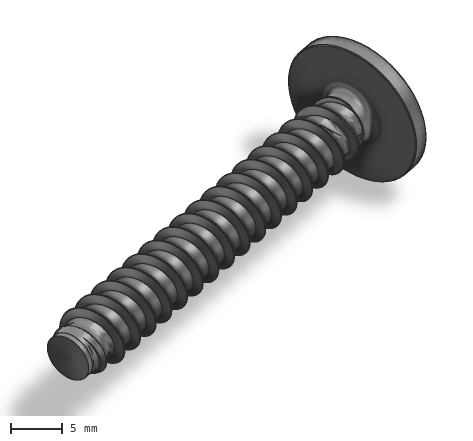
import cadquery as cq
import math

total_length = 49.9

head_height = 4.9
flange_radius = 15.5 / 2
flange_thickness = 1.7
flange_edge_break = 0.1
dome_base_radius = 6.5
dome_top_radius = 3.05

neck_radius = 2.8
neck_length = 1.7
neck_fillet = 0.85
core_radius = 2.5
shank_length = total_length - head_height
tip_dish_depth = 0.2

thread_turns = 18
thread_length = 44.65
pitch = thread_length / thread_turns
thread_radius = 3.5
crest_half_width = 0.06
flank_base_radius = 2.65
flank_base_half_width = 0.4
neck_side_shoulder = 0.95
tip_side_shoulder = 1.4
root_overlap = 0.01
envelope_margin = 0.25
thread_overrun = 0.6
thread_start = -(shank_length + thread_overrun)

neck_runout_radius = 3.0
neck_runout_end = 4.25
tip_runout_start = 0.6
tip_runout_end = 3.5


def make_blank():
    """Head, flange, neck and core turned as one profile about the Y axis."""
    dome_height = head_height - flange_thickness
    center_drop = (dome_base_radius**2 - dome_top_radius**2 - dome_height**2) / (2 * dome_height)
    sphere_center = flange_thickness - center_drop
    sphere_radius = math.hypot(dome_base_radius, center_drop)
    mid_y = flange_thickness + dome_height / 2
    mid_radius = math.sqrt(sphere_radius**2 - (mid_y - sphere_center) ** 2)

    fillet_inset = neck_fillet * (1 - math.sqrt(0.5))

    inner_flange_radius = flange_radius - flange_edge_break
    profile = (
        cq.Workplane("XY")
        .moveTo(0, head_height)
        .lineTo(dome_top_radius, head_height)
        .threePointArc((mid_radius, mid_y), (dome_base_radius, flange_thickness))
        .lineTo(inner_flange_radius, flange_thickness)
        .lineTo(flange_radius, flange_thickness - flange_edge_break)
        .lineTo(flange_radius, flange_edge_break)
        .lineTo(inner_flange_radius, 0)
        .lineTo(neck_radius + neck_fillet, 0)
        .threePointArc((neck_radius + fillet_inset, -fillet_inset), (neck_radius, -neck_fillet))
        .lineTo(neck_radius, -neck_length)
        .lineTo(core_radius, -neck_length)
        .lineTo(core_radius, -shank_length)
        .lineTo(0, -shank_length + tip_dish_depth)
        .close()
    )
    return profile.revolve(360, (0, 0, 0), (0, 1, 0))


def make_thread():
    """Right-hand thread ridge with low shoulders beside its flanks, trimmed to the run-outs."""
    shoulder_height = flank_base_radius - core_radius
    buried_radius = core_radius - root_overlap

    def buried_width(shoulder):
        run = (shoulder - flank_base_half_width) / shoulder_height
        return shoulder + run * root_overlap

    helix = cq.Wire.makeHelix(pitch, thread_length, core_radius)
    ridge = (
        cq.Workplane("XZ")
        .moveTo(buried_radius, -buried_width(tip_side_shoulder))
        .lineTo(flank_base_radius, -flank_base_half_width)
        .lineTo(thread_radius, -crest_half_width)
        .lineTo(thread_radius, crest_half_width)
        .lineTo(flank_base_radius, flank_base_half_width)
        .lineTo(buried_radius, buried_width(neck_side_shoulder))
        .close()
        .sweep(cq.Workplane(obj=helix), isFrenet=True)
        .rotate((0, 0, 0), (1, 0, 0), -90)
        .translate((0, thread_start, 0))
    )

    outer_radius = thread_radius + envelope_margin
    rise_at_neck = (thread_radius - neck_runout_radius) / (neck_runout_end - neck_length)
    rise_at_tip = (thread_radius - core_radius) / (tip_runout_end - tip_runout_start)
    envelope = (
        cq.Workplane("XY")
        .moveTo(0, -neck_length)
        .lineTo(neck_runout_radius, -neck_length)
        .lineTo(outer_radius, -neck_runout_end - envelope_margin / rise_at_neck)
        .lineTo(outer_radius, -shank_length + tip_runout_end + envelope_margin / rise_at_tip)
        .lineTo(core_radius, -shank_length + tip_runout_start)
        .lineTo(0, -shank_length + tip_runout_start)
        .close()
        .revolve(360, (0, 0, 0), (0, 1, 0))
    )
    return ridge.intersect(envelope)


result = make_blank().union(make_thread())